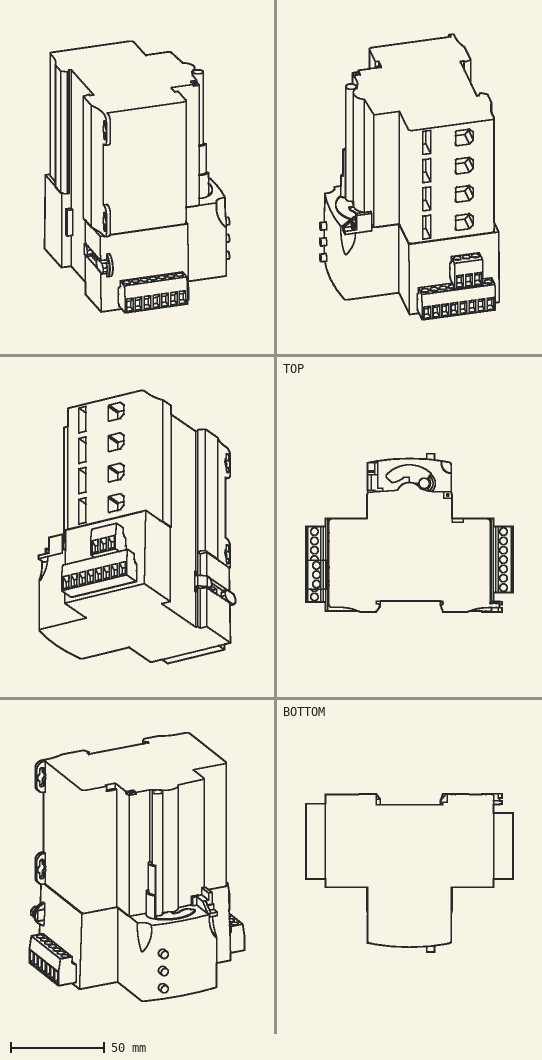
import cadquery as cq
import math


TOTAL_H = 114.95
BASE_H = 43.6
BODY_HALF_W = 43.2
BODY_FRONT_Y = 50.0
BODY_CORNER_R = 1.85
BASE_TOP_HALF_W = 43.7
BASE_BOTTOM_HALF_W = 45.1
BASE_BACK_Y = 0.45
BASE_FRONT_Y = 50.2
TOTAL_D = 84.85

RAIL_Y = 5.9
RAIL_HALF_W = 17.9
HOOK_TIP_X = 16.5
HOOK_TIP_Y = 3.9
LEDGE_X = 20.2
LEDGE_Y = 4.65

NECK_HALF_W = 22.8
NECK_SHOULDER_Y = 62.8
NECK_TOP_Y = 64.6
NECK_LINER_HALF_W = 22.4
NOSE_HALF_W = 22.4
NOSE_SIDE_Y = 80.0
NOSE_MID_Y = 82.3
NOSE_CORNER_R = 1.5

BUTTON_X = 11.3
BUTTON_R = 2.1
BUTTON_COUNT = 3
BUTTON_PITCH = 10.0
FIRST_BUTTON_Z = 6.9

SHAFT_X = 7.85
SHAFT_Y = 68.9
SHAFT_R = 2.8
SOCKET_R = 3.3
GUARD_INNER_R = 3.4
GUARD_MID_R = 4.8
GUARD_OUTER_R = 6.0
GUARD_TALL_Z = 73.6
GUARD_SHORT_Z = 57.0
GUARD_START_DEG = -55
GUARD_END_DEG = 50

POLE_COUNT = 4
POLE_PITCH = 17.85
FIRST_POLE_Z = BASE_H + 9.0
OPENING_DEPTH = 10.0
SLOT_CENTER_Y = 40.2
SLOT_W = 4.3
SLOT_H = 14.5
WINDOW_BACK_Y = 14.4
WINDOW_FRONT_Y = 24.2
WINDOW_H = 9.4
WINDOW_BIG_CUT = 2.2
WINDOW_SMALL_CUT = 0.6

EAR_TIP_X = 48.2
EAR_ROOT_X = 42.0
EAR_BACK_Y = 2.4
EAR_T = 2.2
EAR_H = 17.9
EAR_CORNER_R = 4.0
EAR_HOLE_X = 45.2
EAR_HOLE_R = 2.5
EAR_SLOT_W = 2.4
EAR_SLOT_L = 11.0

TERMINAL_OUTER_X = 55.5
TERMINAL_H = 15.4
TERMINAL_PITCH = 5.0
TERMINAL_END_WALL = 0.25
TERMINAL_TONGUE = 2.0
LOWER_TERMINAL_Z = 2.3
LOWER_FIRST_Y = 43.1
LOWER_LEFT_COUNT = 8
LOWER_RIGHT_COUNT = 7
LOWER_LEFT_SCREW_INSET = 4.6
LOWER_RIGHT_SCREW_INSET = 5.2
UPPER_TERMINAL_Z = 19.2
UPPER_FIRST_Y = 25.0
UPPER_COUNT = 3
UPPER_SCREW_INSET = 5.7
SCREW_R = 2.0
SCREW_DEPTH = 2.0
MOUTH_W = 3.7
MOUTH_H = 7.2
MOUTH_CENTER_Z = 4.4
THROAT_W = 2.3
THROAT_H = 3.5
THROAT_DROP = 0.6
FUNNEL_DEPTH = 2.0

SLIDER_Z = 26.4
SLIDER_W = 6.2
SLIDER_T = 2.4
SLIDER_TIP_X = 49.6
CHANNEL_W = 6.6
CHANNEL_Y = 3.0
TAB_R = 6.6


def box(x0, x1, y0, y1, z0, z1):
    """Box given by its two limits along each axis."""
    return cq.Workplane("XY").box(x1 - x0, y1 - y0, z1 - z0, centered=False).translate((x0, y0, z0))


def cylinder_z(x, y, radius, z0, z1):
    """Upright cylinder between two heights."""
    return cq.Workplane("XY", origin=(x, y, z0)).circle(radius).extrude(z1 - z0)


def along_y(outline, y0, y1):
    """Extrude an XZ outline from y0 to y1."""
    return cq.Workplane("XZ", origin=(0, y0, 0)).polyline(outline).close().extrude(y0 - y1)


def upright_edge_at(x, y, z0, z1):
    """Selector for whatever lies around one upright edge."""
    reach = 1.0
    return cq.selectors.BoxSelector((x - reach, y - reach, z0), (x + reach, y + reach, z1))


def upper_body():
    """Upper body with S-shaped back, rail hooks, neck, and shaft socket."""
    skirt_left_y = 2.5
    skirt_end_x = 35.6
    foot_left_x = 26.5
    foot_right_x = 31.0
    left_hook_tip_x = 15.7
    bump_top_y = 69.4
    bump_foot_x = -6.4
    bump_foot_y = 65.2
    socket_x = 5.0
    socket_y = SHAFT_Y - math.sqrt(SOCKET_R**2 - (SHAFT_X - socket_x) ** 2)
    socket_mid = SOCKET_R / math.sqrt(2)
    body = (
        cq.Workplane("XY", origin=(0, 0, BASE_H))
        .moveTo(-BODY_HALF_W, skirt_left_y)
        .lineTo(-skirt_end_x, skirt_left_y)
        .spline([(-31.5, 1.9), (-foot_left_x, 0)], includeCurrent=True)
        .lineTo(-RAIL_HALF_W, 0)
        .lineTo(-left_hook_tip_x, 3.0)
        .lineTo(-left_hook_tip_x - 0.6, 4.2)
        .lineTo(-RAIL_HALF_W, 4.7)
        .lineTo(-RAIL_HALF_W, RAIL_Y)
        .lineTo(RAIL_HALF_W, RAIL_Y)
        .lineTo(RAIL_HALF_W, HOOK_TIP_Y)
        .lineTo(HOOK_TIP_X, HOOK_TIP_Y)
        .lineTo(RAIL_HALF_W, 0)
        .lineTo(foot_right_x, 0)
        .spline([(35.5, 1.6), (41.0, EAR_BACK_Y)], includeCurrent=True)
        .lineTo(BODY_HALF_W, EAR_BACK_Y)
        .lineTo(BODY_HALF_W, BODY_FRONT_Y)
        .lineTo(NECK_HALF_W, BODY_FRONT_Y)
        .lineTo(NECK_HALF_W, NECK_SHOULDER_Y)
        .lineTo(NECK_LINER_HALF_W, NECK_TOP_Y - 0.3)
        .lineTo(SHAFT_X + 2.5, NECK_TOP_Y)
        .lineTo(SHAFT_X, SHAFT_Y - SOCKET_R)
        .threePointArc((SHAFT_X - socket_mid, SHAFT_Y - socket_mid), (socket_x, socket_y))
        .threePointArc((-0.2, bump_top_y), (bump_foot_x, bump_foot_y))
        .lineTo(-NECK_LINER_HALF_W, NECK_TOP_Y - 0.5)
        .lineTo(-NECK_HALF_W, NECK_SHOULDER_Y)
        .lineTo(-NECK_HALF_W, BODY_FRONT_Y)
        .lineTo(-BODY_HALF_W, BODY_FRONT_Y)
        .close()
        .extrude(TOTAL_H - BASE_H)
    )
    rounded_corners = [
        (-BODY_HALF_W, skirt_left_y),
        (-BODY_HALF_W, BODY_FRONT_Y),
        (BODY_HALF_W, BODY_FRONT_Y),
    ]
    for x, y in rounded_corners:
        body = body.edges(upright_edge_at(x, y, BASE_H, TOTAL_H)).edges("|Z").fillet(BODY_CORNER_R)
    return body


def neck_lug_cut():
    """Step in the top right corner of the neck, with a small pin hole."""
    step_h = 1.0
    pin_hole_r = 0.6
    pin_hole_x = 20.5
    pin_hole_y = 62.7
    step_x = 18.3
    step_y = 61.0
    step = box(step_x, NECK_HALF_W, step_y, NECK_TOP_Y, TOTAL_H - step_h, TOTAL_H)
    return step.union(cylinder_z(pin_hole_x, pin_hole_y, pin_hole_r, TOTAL_H - 2 * step_h, TOTAL_H))


def front_notch():
    """Notch in the top front edge beside the neck."""
    notch_l = 6.0
    notch_d = 1.8
    notch_h = 3.0
    notch_end_x = NECK_HALF_W + notch_l
    notch_y = BODY_FRONT_Y - notch_d
    return box(NECK_HALF_W, notch_end_x, notch_y, BODY_FRONT_Y, TOTAL_H - notch_h, TOTAL_H)


def pole_openings(z):
    """Vent slot and D-shaped wire window of one pole in the -X side."""
    big = WINDOW_BIG_CUT
    small = WINDOW_SMALL_CUT
    low = z - WINDOW_H / 2
    high = z + WINDOW_H / 2
    outline = [
        (WINDOW_BACK_Y, low + big),
        (WINDOW_BACK_Y + big, low),
        (WINDOW_FRONT_Y - small, low),
        (WINDOW_FRONT_Y, low + small),
        (WINDOW_FRONT_Y, high - small),
        (WINDOW_FRONT_Y - small, high),
        (WINDOW_BACK_Y + big, high),
        (WINDOW_BACK_Y, high - big),
    ]
    side = cq.Workplane("YZ", origin=(-BODY_HALF_W, 0, 0))
    window = side.polyline(outline).close().extrude(OPENING_DEPTH)
    slot = side.center(SLOT_CENTER_Y, z).rect(SLOT_W, SLOT_H).extrude(OPENING_DEPTH)
    return window.union(slot)


def mounting_ear(z0):
    """Rounded mounting ear on the +X side."""
    ear = box(EAR_ROOT_X, EAR_TIP_X, EAR_BACK_Y, EAR_BACK_Y + EAR_T, z0, z0 + EAR_H)
    return ear.edges("|Y and >X").fillet(EAR_CORNER_R)


def keyhole(z0):
    """Cutter for an ear's screw hole, which has a narrow slot running up and down from it."""
    face = cq.Workplane("XZ", origin=(EAR_HOLE_X, 0, z0 + EAR_H / 2))
    hole = face.circle(EAR_HOLE_R).extrude(-EAR_BACK_Y - EAR_T)
    slot = face.slot2D(EAR_SLOT_L, EAR_SLOT_W, 90).extrude(-EAR_BACK_Y - EAR_T)
    return hole.union(slot)


def base_shell():
    """Tapered base block with the rail recess through its back."""
    outline = [
        (-BASE_BOTTOM_HALF_W, 0),
        (BASE_BOTTOM_HALF_W, 0),
        (BASE_TOP_HALF_W, BASE_H),
        (-BASE_TOP_HALF_W, BASE_H),
    ]
    shell = along_y(outline, BASE_BACK_Y, BASE_FRONT_Y)
    shell = shell.cut(box(-RAIL_HALF_W, RAIL_HALF_W, 0, RAIL_Y, 0, BASE_H))
    return shell.cut(box(RAIL_HALF_W, LEDGE_X, 0, LEDGE_Y, 0, BASE_H))


def rail_clip():
    """Fixed clip on the left wall of the rail recess."""
    clip_tip_x = -15.6
    clip_y = 2.9
    clip_z = 19.0
    clip_h = 15.0
    return box(-RAIL_HALF_W, clip_tip_x, clip_y, RAIL_Y, clip_z, clip_z + clip_h)


def nose():
    """Front part of the base with a bowed front face."""
    block = (
        cq.Workplane("XY")
        .moveTo(-NOSE_HALF_W, RAIL_Y)
        .lineTo(NOSE_HALF_W, RAIL_Y)
        .lineTo(NOSE_HALF_W, NOSE_SIDE_Y)
        .threePointArc((0, NOSE_MID_Y), (-NOSE_HALF_W, NOSE_SIDE_Y))
        .close()
        .extrude(BASE_H)
    )
    for x in (-NOSE_HALF_W, NOSE_HALF_W):
        block = block.edges(upright_edge_at(x, NOSE_SIDE_Y, 0, BASE_H)).edges("|Z").fillet(NOSE_CORNER_R)
    return block


def thumb_scoop(x):
    """Pointed scoop hollowed downwards into a front corner of the nose."""
    scoop_r = 5.2
    scoop_h = 15.2
    scoop_y = 79.6
    profile = (
        cq.Workplane("XZ")
        .moveTo(0, 0)
        .threePointArc((4.3, 6.5), (scoop_r, scoop_h))
        .lineTo(0, scoop_h)
        .close()
    )
    return profile.revolve(360, (0, 0), (0, 1)).translate((x, scoop_y, BASE_H - scoop_h))


def indicator(z):
    """Round button standing out of the bowed front."""
    face = cq.Workplane("XZ", origin=(BUTTON_X, NOSE_SIDE_Y, z))
    return face.circle(BUTTON_R).extrude(NOSE_SIDE_Y - TOTAL_D)


def locking_flap():
    """Block on the left of the nose, with its crest, cover plate, sloping rib, lug and stop wall."""
    flap_left = -22.5
    crest_right = -20.4
    flap_right = -18.7
    rib_right = -16.9
    lug_right = -14.4
    lug_front = 66.4
    stop_back = 74.8
    stop_front = 75.7
    stop_top = 46.5
    flap_back = 65.2
    flap_front = 73.5
    flap_top = 52.6
    rib_top = 48.5
    plate_z = 41.6
    plate_front = 80.0
    block = box(flap_left, flap_right, flap_back, flap_front, plate_z, rib_top)
    crest = box(flap_left, crest_right, flap_back, flap_front, rib_top, flap_top)
    stop = box(flap_left, flap_right, stop_back, stop_front, BASE_H, stop_top)
    plate = box(flap_left, rib_right, flap_back, plate_front, plate_z, BASE_H)
    slope = [(flap_back, BASE_H), (plate_front, BASE_H), (flap_front, rib_top), (flap_back, rib_top)]
    rib_side = cq.Workplane("YZ", origin=(flap_right, 0, 0))
    rib = rib_side.polyline(slope).close().extrude(rib_right - flap_right)
    lug = box(flap_right, lug_right, NECK_TOP_Y, lug_front, plate_z, rib_top)
    return block.union(crest).union(plate).union(rib).union(lug).union(stop)


def handle_lever():
    """Low crescent-shaped lever on top of the nose."""
    lever_t = 0.5
    tip_x = -12.4
    heel_x = -0.1
    heel_y = 72.1
    return (
        cq.Workplane("XY", origin=(0, 0, BASE_H))
        .moveTo(tip_x, 73.5)
        .threePointArc((-0.2, 78.85), (11.6, 74.2))
        .lineTo(SHAFT_X, SHAFT_Y)
        .lineTo(heel_x, 69.0)
        .lineTo(heel_x, heel_y)
        .lineTo(-3.0, heel_y)
        .threePointArc((-6.0, 70.2), (-9.3, 69.3))
        .lineTo(tip_x, heel_y)
        .close()
        .extrude(lever_t)
    )


def shaft_guard(inner_r, outer_r, top_z):
    """Curved wall around the +X side of the shaft."""
    start = math.radians(GUARD_START_DEG)
    end = math.radians(GUARD_END_DEG)

    def at(radius, angle):
        return (SHAFT_X + radius * math.cos(angle), SHAFT_Y + radius * math.sin(angle))

    return (
        cq.Workplane("XY", origin=(0, 0, BASE_H))
        .moveTo(*at(inner_r, start))
        .lineTo(*at(outer_r, start))
        .threePointArc(at(outer_r, 0), at(outer_r, end))
        .lineTo(*at(inner_r, end))
        .threePointArc(at(inner_r, 0), at(inner_r, start))
        .close()
        .extrude(top_z - BASE_H)
    )


def wire_funnel(x, y, z):
    """Cutter for a rectangular wire entry that narrows inwards from the face at x."""
    mouth = cq.Workplane("YZ", origin=(x, y, z)).rect(MOUTH_W, MOUTH_H)
    throat = mouth.workplane(offset=FUNNEL_DEPTH).center(0, -THROAT_DROP).rect(THROAT_W, THROAT_H)
    return throat.loft(ruled=True, combine=True)


def terminal(y_first, count, z0, screw_inset):
    """Terminal block for the -X side; its positions run toward -Y from y_first."""
    x0 = -TERMINAL_OUTER_X
    top = z0 + TERMINAL_H
    cap_back_x = x0 + 8.1
    foot_back_x = x0 + 10.8
    outline = [
        (x0, z0),
        (x0, z0 + 8.2),
        (x0 + 1.1, top),
        (cap_back_x, top),
        (cap_back_x, z0 + 12.3),
        (x0 + 9.2, z0 + 10.9),
        (foot_back_x - 0.2, z0 + 10.2),
        (foot_back_x, z0 + 1.0),
        (foot_back_x - 0.5, z0),
    ]
    end_margin = TERMINAL_PITCH / 2 + TERMINAL_END_WALL
    y_last = y_first - (count - 1) * TERMINAL_PITCH
    y0 = y_last - end_margin
    y1 = y_first + end_margin
    block = along_y(outline, y0, y1)
    tongue_x = x0 + 10.0
    block = block.union(box(tongue_x, tongue_x + TERMINAL_TONGUE, y0, y1, z0 + 1.0, z0 + 6.0))
    for i in range(count):
        y = y_first - i * TERMINAL_PITCH
        block = block.cut(wire_funnel(x0, y, z0 + MOUTH_CENTER_Z))
        block = block.cut(cylinder_z(x0 + screw_inset, y, SCREW_R, top - SCREW_DEPTH, top))
    return block


def slider_channel():
    """Groove across the right foot of the base for the slider."""
    half = CHANNEL_W / 2
    return box(LEDGE_X, BASE_BOTTOM_HALF_W, 0, CHANNEL_Y, SLIDER_Z - half, SLIDER_Z + half)


def slider():
    """Locking slider: hook and wide shoe at the rail, thin strip, chamfered grip and finger tab."""
    half = SLIDER_W / 2
    z0 = SLIDER_Z - half
    z1 = SLIDER_Z + half
    hook_ramp_x = 19.7
    hook_end_x = 24.6
    grip_x0 = 38.8
    shoe_half = 5.8
    shoe_y = 5.2
    end_chamfer = 2.0

    strip = box(LEDGE_X, EAR_TIP_X, CHANNEL_Y, RAIL_Y, z0, z1)
    hook = (
        cq.Workplane("XY", origin=(0, 0, z0))
        .moveTo(HOOK_TIP_X, HOOK_TIP_Y)
        .lineTo(hook_ramp_x, 0)
        .lineTo(hook_end_x, 0)
        .lineTo(hook_end_x, RAIL_Y)
        .lineTo(HOOK_TIP_X, RAIL_Y)
        .close()
        .extrude(SLIDER_W)
    )
    hook = hook.edges("|Y and >X").chamfer(end_chamfer)
    grip = box(grip_x0, SLIDER_TIP_X, 0, SLIDER_T, z0, z1).edges("|Y").chamfer(end_chamfer)
    shoe = box(HOOK_TIP_X, LEDGE_X, shoe_y, RAIL_Y, SLIDER_Z - shoe_half, SLIDER_Z + shoe_half)
    grip_root = box(grip_x0 + end_chamfer, EAR_TIP_X, SLIDER_T, CHANNEL_Y, z0, z1)
    tab_y = 3.9
    tab_t = 1.7
    tab_face = cq.Workplane("XZ", origin=(SLIDER_TIP_X - TAB_R, tab_y, SLIDER_Z))
    tab = tab_face.circle(TAB_R).extrude(-tab_t)
    return strip.union(hook).union(grip).union(grip_root).union(shoe).union(tab)


def slider_slot():
    """Slot sunk into the strip of the slider."""
    half = 1.6
    slot_depth = 2.0
    slot_x = 24.7
    slot_l = 10.0
    return box(slot_x, slot_x + slot_l, CHANNEL_Y, CHANNEL_Y + slot_depth, SLIDER_Z - half, SLIDER_Z + half)


body = upper_body().cut(neck_lug_cut()).cut(front_notch())
for pole in range(POLE_COUNT):
    body = body.cut(pole_openings(FIRST_POLE_Z + pole * POLE_PITCH))
for ear_z in (BASE_H, TOTAL_H - EAR_H):
    body = body.union(mounting_ear(ear_z)).cut(keyhole(ear_z))

base = base_shell().union(nose()).union(rail_clip())
for scoop_x in (-NOSE_HALF_W, NOSE_HALF_W):
    base = base.cut(thumb_scoop(scoop_x))
base = base.cut(slider_channel()).union(slider()).cut(slider_slot())
base = base.union(locking_flap()).union(handle_lever())
for button in range(BUTTON_COUNT):
    base = base.union(indicator(FIRST_BUTTON_Z + button * BUTTON_PITCH))
base = base.union(cylinder_z(SHAFT_X, SHAFT_Y, SHAFT_R, 0, TOTAL_H))
base = base.union(shaft_guard(GUARD_INNER_R, GUARD_MID_R, GUARD_TALL_Z))
base = base.union(shaft_guard(GUARD_MID_R, GUARD_OUTER_R, GUARD_SHORT_Z))

lower_left = terminal(LOWER_FIRST_Y, LOWER_LEFT_COUNT, LOWER_TERMINAL_Z, LOWER_LEFT_SCREW_INSET)
upper_left = terminal(UPPER_FIRST_Y, UPPER_COUNT, UPPER_TERMINAL_Z, UPPER_SCREW_INSET)
lower_right = terminal(LOWER_FIRST_Y, LOWER_RIGHT_COUNT, LOWER_TERMINAL_Z, LOWER_RIGHT_SCREW_INSET)
lower_right = lower_right.mirror("YZ")

result = body.union(base).union(lower_left).union(upper_left).union(lower_right)